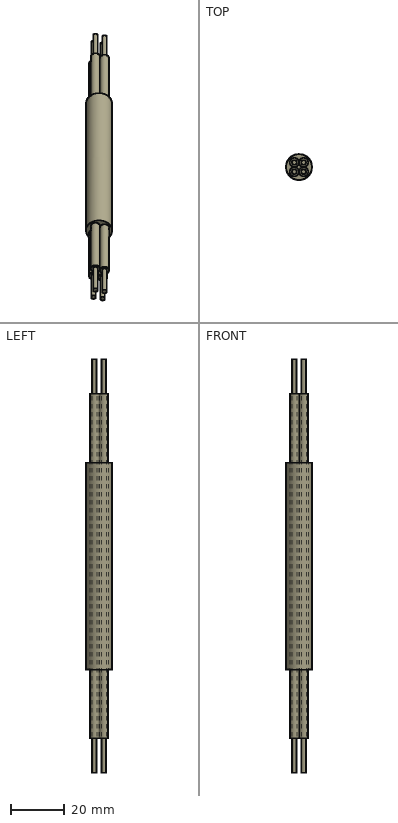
import cadquery as cq


cable_length = 155.72
jacket_diameter = 9.85
insulation_diameter = 3.45
conductor_diameter = 1.8
core_gap = 0.05

jacket_length = cable_length / 2
insulation_length = cable_length * 5 / 6
core_pitch = insulation_diameter + core_gap

core_centers = [
    (x_side * core_pitch / 2, y_side * core_pitch / 2)
    for x_side in (-1, 1)
    for y_side in (-1, 1)
]


def centered_rod(diameter, length, center=(0, 0)):
    """Round rod along Z, with its middle at Z = 0."""
    return cq.Workplane("XY").center(*center).circle(diameter / 2).extrude(length / 2, both=True)


def make_jacket():
    """Outer jacket, filled between the cores, with one through hole for each core."""
    jacket = centered_rod(jacket_diameter, jacket_length)
    for center in core_centers:
        jacket = jacket.cut(centered_rod(insulation_diameter, jacket_length, center))
    return jacket


def make_insulation(center):
    """Insulation sleeve of one core, bored for its conductor."""
    sleeve = centered_rod(insulation_diameter, insulation_length, center)
    return sleeve.cut(centered_rod(conductor_diameter, insulation_length, center))


def make_conductor(center):
    """Bare conductor of one core, running the full cable length."""
    return centered_rod(conductor_diameter, cable_length, center)


jacket = make_jacket()
insulations = [make_insulation(center) for center in core_centers]
conductors = [make_conductor(center) for center in core_centers]

result = cq.Compound.makeCompound(
    [
        jacket.val(),
        *[insulation.val() for insulation in insulations],
        *[conductor.val() for conductor in conductors],
    ]
)